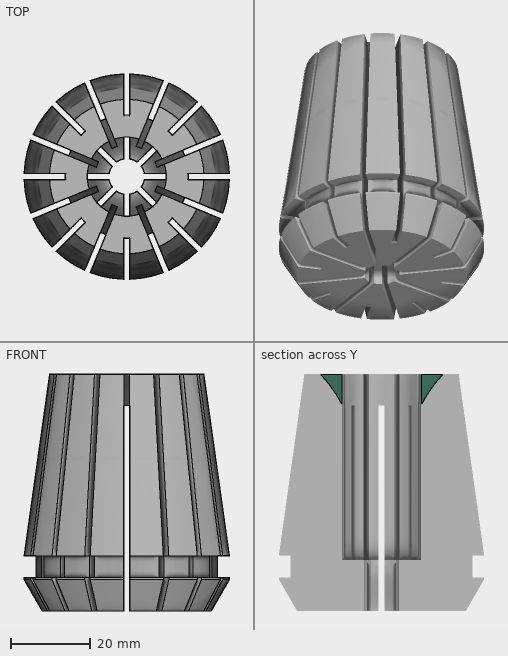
import cadquery as cq
import math

height = 60.0
max_radius = 26.0
taper_angle = 8.0
nose_angle = 30.0
nose_height = 8.0
groove_radius = 23.0
groove_bottom = 8.5
groove_top = 14.0
top_radius = max_radius - (height - groove_top) * math.tan(math.radians(taper_angle))
nose_radius = max_radius - nose_height * math.tan(math.radians(nose_angle))

bore_radius = 10.0
pilot_radius = 4.5

slot_width = 1.5
slots_per_set = 8
slot_pitch = 360.0 / slots_per_set
cutter_clearance = 1.0
cutter_reach = max_radius + cutter_clearance

saw_radius = 33.0
runout_end_face_radius = 15.6
runout_bore_depth = 7.95
slot_inner_radius = 8.0


def runout_center():
    """Return the radius and the end-face distance of the centre of the run-out arc."""
    radial_step = runout_end_face_radius - bore_radius
    chord = math.hypot(radial_step, runout_bore_depth)
    offset = math.sqrt(saw_radius**2 - (chord / 2) ** 2)
    center_radius = (runout_end_face_radius + bore_radius) / 2 + offset * runout_bore_depth / chord
    center_depth = runout_bore_depth / 2 + offset * radial_step / chord
    return center_radius, center_depth


def runout_depth(radius):
    """Return the distance of the run-out arc from the end face at a given radius."""
    center_radius, center_depth = runout_center()
    return center_depth - math.sqrt(saw_radius**2 - (center_radius - radius) ** 2)


ledge_height = runout_depth(slot_inner_radius)


def make_body():
    """Turn the tapered body with its nose cone, groove and stepped bore."""
    outline = [
        (pilot_radius, 0),
        (nose_radius, 0),
        (max_radius, nose_height),
        (max_radius, groove_bottom),
        (groove_radius, groove_bottom),
        (groove_radius, groove_top),
        (max_radius, groove_top),
        (top_radius, height),
        (bore_radius, height),
        (bore_radius, ledge_height),
        (pilot_radius, ledge_height),
    ]
    return cq.Workplane("XZ").polyline(outline).close().revolve(360, (0, 0), (0, 1))


def make_top_slot(angle):
    """Make the cutter for one slot that is open at the top and runs out at the bottom."""
    mid_radius = (runout_end_face_radius + slot_inner_radius) / 2
    return (
        cq.Workplane("XZ")
        .moveTo(0, ledge_height)
        .lineTo(slot_inner_radius, ledge_height)
        .threePointArc((mid_radius, runout_depth(mid_radius)), (runout_end_face_radius, 0))
        .lineTo(cutter_reach, 0)
        .lineTo(cutter_reach, height)
        .lineTo(0, height)
        .close()
        .extrude(slot_width / 2, both=True)
        .rotate((0, 0, 0), (0, 0, 1), angle)
    )


def make_bottom_slot(angle):
    """Make the cutter for one slot that is open at the bottom, the upside-down twin of a top slot."""
    return make_top_slot(angle).mirror("XY").translate((0, 0, height))


result = make_body()
for index in range(slots_per_set):
    bottom_slot_angle = index * slot_pitch
    result = result.cut(make_bottom_slot(bottom_slot_angle))
    result = result.cut(make_top_slot(bottom_slot_angle + slot_pitch / 2))